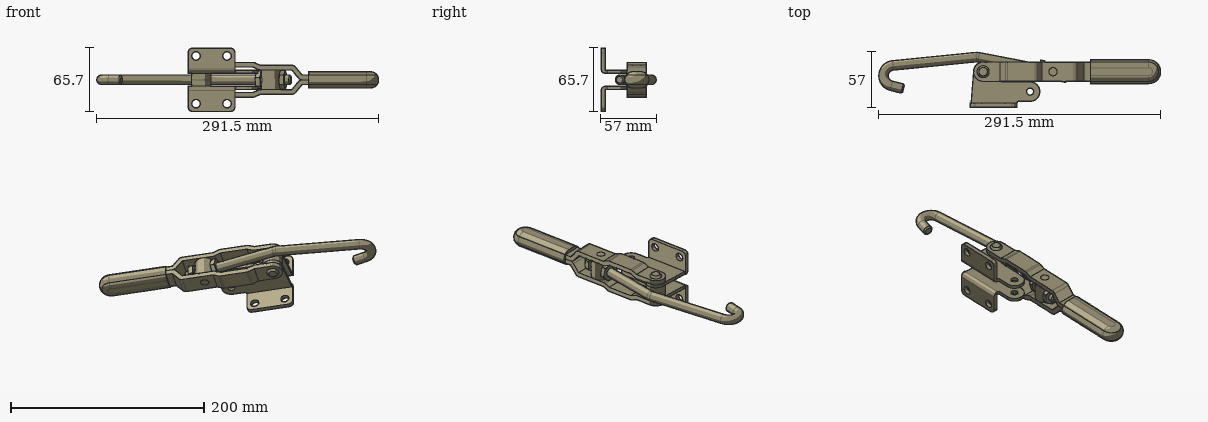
import cadquery as cq
import math


PLATE_WIDTH = 20.0
PLATE_THICKNESS = 5.0
PLATE_END_RADIUS = PLATE_WIDTH / 2
RAISE = 3.0
RAISE_START_X = 17.3
RAISED_FLAT_START_X = 25.2
RAISED_FLAT_END_X = 53.3
RAISE_END_X = 61.0
CLOSE_START_X = 93.6
CLOSE_END_X = 104.3

WEB_GAP = 13.2
WEB_THICKNESS = 3.5
FLANGE_THICKNESS = 4.4
FLANGE_LENGTH = 48.6
FLANGE_CENTER_X = 10.7
FLANGE_FACE_Y = -36.9
FLANGE_TOP_Z = 65.7 / 2
FLANGE_CORNER_RADIUS = 5.0
FLANGE_HOLE_DIAMETER = 8.5
FLANGE_HOLE_SPACING = 32.0
FLANGE_HOLE_Z = 24.65
PIVOT_END_RADIUS = 10.0
EAR_RADIUS = 10.1
EAR_CENTER = (48.5, -20.6)
EAR_HOLE_DIAMETER = 7.0
NECK_FILLET = 12.0
NOTCH_FILLET = 1.7
WEB_FOOT_SETBACK = 1.0

PIN_DIAMETER = 8.8
SPACER_DIAMETER = 2 * PIVOT_END_RADIUS
HEAD_DIAMETER = 12.5
HEAD_TOP_DIAMETER = PIN_DIAMETER
HEAD_HEIGHT = 2.5

BARREL_X = 72.2
BARREL_DIAMETER = 20.0
TRUNNION_DIAMETER = 8.5

ROD_DIAMETER = 10.0
ROD_TILT = 11.0
ROD_CHAMFER = 1.5
THREAD_END_LENGTH = 21.0
KNEE_DISTANCE = 78.45
KNEE_RADIUS = 8.0
SHANK_TILT = 5.7
SHANK_LENGTH = 86.63
HOOK_RADIUS = 10.7
HOOK_SWEEP = 160.0
HOOK_TAIL_LENGTH = 13.0

NUT_SIDES = 6
NUT_ACROSS_FLATS = 17.0
NUT_THICKNESS = 5.0
NUT_CHAMFER_WIDTH = 0.9
NUT_CHAMFER_HEIGHT = NUT_CHAMFER_WIDTH / 2
OUTER_NUT_TURN = 0.0
INNER_NUT_TURN = 15.0

GRIP_START_X = 111.0
GRIP_END_CENTER_X = 171.05
GRIP_WIDTH = 25.0
GRIP_THICKNESS = 17.0

WEB_INNER_Z = WEB_GAP / 2
WEB_OUTER_Z = WEB_INNER_Z + WEB_THICKNESS
FLANGE_BACK_Y = FLANGE_FACE_Y + FLANGE_THICKNESS
PLATE_INNER_Z = WEB_OUTER_Z
PLATE_OUTER_Z = PLATE_INNER_Z + PLATE_THICKNESS


def slope_angle(run, rise):
    """Slope of a leg that joins two concave corners on opposite faces of the sheet.

    The corners are `run` apart along X and `rise` apart along Z, and the leg is one sheet thick.
    """
    return math.asin(PLATE_THICKNESS / math.hypot(run, rise)) - math.atan2(rise, run)


def make_lever_plate():
    t = PLATE_THICKNESS
    inner = PLATE_INNER_Z
    outer = PLATE_OUTER_Z
    up_run = RAISED_FLAT_START_X - RAISE_START_X
    up = t * math.tan(slope_angle(up_run, t - RAISE) / 2)
    down = t * math.tan(slope_angle(RAISE_END_X - RAISED_FLAT_END_X, t - RAISE) / 2)
    close = t * math.tan(slope_angle(CLOSE_END_X - CLOSE_START_X, t - inner) / 2)
    tip_x = GRIP_END_CENTER_X + PLATE_END_RADIUS
    up_outer = (RAISED_FLAT_START_X - up, outer + RAISE)
    down_outer = (RAISED_FLAT_END_X + down, outer + RAISE)
    close_outer = (CLOSE_START_X + close, outer)
    up_inner = (RAISE_START_X + up, inner)
    down_inner = (RAISE_END_X - down, inner)
    close_inner = (CLOSE_END_X - close, 0)
    profile = [
        (-PLATE_END_RADIUS, outer),
        (RAISE_START_X, outer),
        up_outer,
        down_outer,
        (RAISE_END_X, outer),
        close_outer,
        (CLOSE_END_X, t),
        (tip_x, t),
        (tip_x, 0),
        close_inner,
        (CLOSE_START_X, inner),
        down_inner,
        (RAISED_FLAT_END_X, inner + RAISE),
        (RAISED_FLAT_START_X, inner + RAISE),
        up_inner,
        (-PLATE_END_RADIUS, inner),
    ]
    plate = cq.Workplane("XZ").polyline(profile).close().extrude(PLATE_WIDTH / 2, both=True)
    for x, z in (up_outer, down_outer, close_outer, up_inner, down_inner, close_inner):
        plate = plate.edges(cq.selectors.NearestToPointSelector((x, 0, z))).fillet(t)
    outline = cq.Workplane("XY").center((tip_x - PLATE_END_RADIUS) / 2, 0)
    outline = outline.slot2D(tip_x + PLATE_END_RADIUS, PLATE_WIDTH).extrude(outer + RAISE)
    plate = plate.intersect(outline)
    pin_hole = cq.Workplane("XY").circle(PIN_DIAMETER / 2).extrude(outer)
    trunnion_hole = cq.Workplane("XY").center(BARREL_X, 0).circle(TRUNNION_DIAMETER / 2).extrude(outer)
    return plate.cut(pin_hole).cut(trunnion_hole)


def make_bracket():
    flange_left = FLANGE_CENTER_X - FLANGE_LENGTH / 2
    flange_right = FLANGE_CENTER_X + FLANGE_LENGTH / 2
    ear_x, ear_y = EAR_CENTER
    foot = (flange_left + WEB_FOOT_SETBACK, FLANGE_BACK_Y)
    foot_distance = math.hypot(*foot)
    touch_angle = math.atan2(foot[1], foot[0]) - math.acos(PIVOT_END_RADIUS / foot_distance)
    touch = (PIVOT_END_RADIUS * math.cos(touch_angle), PIVOT_END_RADIUS * math.sin(touch_angle))
    web = (
        cq.Workplane("XY", origin=(0, 0, WEB_INNER_Z))
        .moveTo(*foot)
        .lineTo(*touch)
        .threePointArc((0, PIVOT_END_RADIUS), (PIVOT_END_RADIUS, 0))
        .lineTo(PIVOT_END_RADIUS, ear_y + EAR_RADIUS)
        .lineTo(ear_x, ear_y + EAR_RADIUS)
        .threePointArc((ear_x + EAR_RADIUS, ear_y), (ear_x, ear_y - EAR_RADIUS))
        .lineTo(flange_right, ear_y - EAR_RADIUS)
        .lineTo(flange_right, FLANGE_BACK_Y)
        .close()
        .extrude(WEB_THICKNESS)
    )
    neck = cq.selectors.NearestToPointSelector((PIVOT_END_RADIUS, ear_y + EAR_RADIUS, WEB_OUTER_Z))
    web = web.edges("|Z").edges(neck).fillet(NECK_FILLET)
    notch = cq.selectors.NearestToPointSelector((flange_right, ear_y - EAR_RADIUS, WEB_OUTER_Z))
    web = web.edges("|Z").edges(notch).fillet(NOTCH_FILLET)
    bend_z = WEB_INNER_Z + FLANGE_THICKNESS
    bend_reach = FLANGE_THICKNESS * math.sqrt(0.5)
    flange = (
        cq.Workplane("YZ", origin=(flange_left, 0, 0))
        .moveTo(FLANGE_BACK_Y, WEB_INNER_Z)
        .threePointArc((FLANGE_BACK_Y - bend_reach, bend_z - bend_reach), (FLANGE_FACE_Y, bend_z))
        .lineTo(FLANGE_FACE_Y, FLANGE_TOP_Z)
        .lineTo(FLANGE_BACK_Y, FLANGE_TOP_Z)
        .close()
        .extrude(FLANGE_LENGTH)
        .edges("|Y and >Z")
        .fillet(FLANGE_CORNER_RADIUS)
    )
    bracket = web.union(flange)
    holes = (
        cq.Workplane("XZ")
        .pushPoints([(FLANGE_CENTER_X + side * FLANGE_HOLE_SPACING / 2, FLANGE_HOLE_Z) for side in (-1, 1)])
        .circle(FLANGE_HOLE_DIAMETER / 2)
        .extrude(-FLANGE_FACE_Y)
    )
    pin_hole = cq.Workplane("XY").circle(PIN_DIAMETER / 2).extrude(WEB_OUTER_Z)
    ear_hole = cq.Workplane("XY").center(ear_x, ear_y).circle(EAR_HOLE_DIAMETER / 2).extrude(WEB_OUTER_Z)
    return bracket.cut(holes).cut(pin_hole).cut(ear_hole)


def make_pivot_pin():
    half = [
        (0, 0),
        (SPACER_DIAMETER / 2, 0),
        (SPACER_DIAMETER / 2, WEB_INNER_Z),
        (PIN_DIAMETER / 2, WEB_INNER_Z),
        (PIN_DIAMETER / 2, PLATE_OUTER_Z),
        (HEAD_DIAMETER / 2, PLATE_OUTER_Z),
        (HEAD_TOP_DIAMETER / 2, PLATE_OUTER_Z + HEAD_HEIGHT),
        (0, PLATE_OUTER_Z + HEAD_HEIGHT),
    ]
    upper = cq.Workplane("XZ").polyline(half).close().revolve(360, (0, 0), (0, 1))
    return upper.union(upper.mirror("XY"))


def heading(degrees):
    """Unit vector in the XY plane, measured anticlockwise from +X."""
    return cq.Vector(math.cos(math.radians(degrees)), math.sin(math.radians(degrees)))


def make_hook_rod():
    first = 180 - ROD_TILT
    second = 180 + SHANK_TILT
    last = second + HOOK_SWEEP
    start = cq.Vector(BARREL_X, 0) - heading(first) * THREAD_END_LENGTH
    knee_start = cq.Vector(BARREL_X, 0) + heading(first) * KNEE_DISTANCE
    knee_center = knee_start + heading(first + 90) * KNEE_RADIUS
    knee_mid = knee_center + heading((first + second) / 2 - 90) * KNEE_RADIUS
    knee_end = knee_center + heading(second - 90) * KNEE_RADIUS
    hook_start = knee_end + heading(second) * SHANK_LENGTH
    hook_center = hook_start + heading(second + 90) * HOOK_RADIUS
    hook_mid = hook_center + heading((second + last) / 2 - 90) * HOOK_RADIUS
    hook_end = hook_center + heading(last - 90) * HOOK_RADIUS
    tip = hook_end + heading(last) * HOOK_TAIL_LENGTH
    path = (
        cq.Workplane("XY")
        .moveTo(start.x, start.y)
        .lineTo(knee_start.x, knee_start.y)
        .threePointArc(knee_mid.toTuple()[:2], knee_end.toTuple()[:2])
        .lineTo(hook_start.x, hook_start.y)
        .threePointArc(hook_mid.toTuple()[:2], hook_end.toTuple()[:2])
        .lineTo(tip.x, tip.y)
    )
    section = cq.Workplane(cq.Plane(start, (0, 0, 1), heading(first))).circle(ROD_DIAMETER / 2)
    rod = section.sweep(path)
    for end in (start, tip):
        rod = rod.faces(cq.selectors.NearestToPointSelector(end.toTuple())).edges().chamfer(ROD_CHAMFER)
    return rod


def rod_plane(distance):
    """Plane across the rod, `distance` from the barrel axis towards the threaded end."""
    along = heading(-ROD_TILT)
    return cq.Plane(cq.Vector(BARREL_X, 0) + along * distance, (0, 0, 1), along)


def make_barrel():
    axis = cq.Workplane("XY", origin=(BARREL_X, 0, 0))
    barrel = axis.circle(BARREL_DIAMETER / 2).extrude(PLATE_INNER_Z, both=True)
    trunnions = axis.circle(TRUNNION_DIAMETER / 2).extrude(PLATE_OUTER_Z, both=True)
    bore = cq.Workplane(rod_plane(0)).circle(ROD_DIAMETER / 2).extrude(BARREL_DIAMETER, both=True)
    return barrel.union(trunnions).cut(bore)


def make_nut(near_face, turn):
    corner_diameter = NUT_ACROSS_FLATS / math.cos(math.pi / NUT_SIDES)
    plane = rod_plane(near_face)
    blank = cq.Workplane(plane).transformed(rotate=(0, 0, turn))
    blank = blank.polygon(NUT_SIDES, corner_diameter).extrude(NUT_THICKNESS)
    rounding = cq.Workplane(plane).circle(corner_diameter / 2).extrude(NUT_THICKNESS)
    rounding = rounding.faces("<X or >X").edges().chamfer(NUT_CHAMFER_HEIGHT, NUT_CHAMFER_WIDTH)
    bore = cq.Workplane(plane).circle(ROD_DIAMETER / 2).extrude(NUT_THICKNESS)
    return blank.intersect(rounding).cut(bore)


def make_grip(plates):
    end_radius = GRIP_THICKNESS / 2
    length = GRIP_END_CENTER_X - GRIP_START_X
    sleeve = (
        cq.Workplane("YZ", origin=(GRIP_START_X, 0, 0))
        .slot2D(GRIP_WIDTH, GRIP_THICKNESS)
        .extrude(length)
    )
    flat = GRIP_WIDTH / 2 - end_radius
    cap = (
        cq.Workplane("XZ", origin=(GRIP_END_CENTER_X, 0, 0))
        .moveTo(0, -end_radius)
        .lineTo(flat, -end_radius)
        .threePointArc((GRIP_WIDTH / 2, 0), (flat, end_radius))
        .lineTo(0, end_radius)
        .close()
        .revolve(360, (0, 0), (0, 1))
    )
    grip = sleeve.union(cap)
    for plate in plates:
        grip = grip.cut(plate)
    return grip


upper_plate = make_lever_plate()
plates = [upper_plate, upper_plate.mirror("XY")]
upper_bracket = make_bracket()
brackets = [upper_bracket, upper_bracket.mirror("XY")]
hook_rod = make_hook_rod()
pivot_pin = make_pivot_pin().cut(hook_rod)
barrel = make_barrel()
nuts = [
    make_nut(BARREL_DIAMETER / 2, OUTER_NUT_TURN),
    make_nut(-BARREL_DIAMETER / 2 - NUT_THICKNESS, INNER_NUT_TURN),
]
grip = make_grip(plates)

bodies = [*plates, *brackets, pivot_pin, hook_rod, barrel, *nuts, grip]
result = cq.Compound.makeCompound([body.val() for body in bodies])